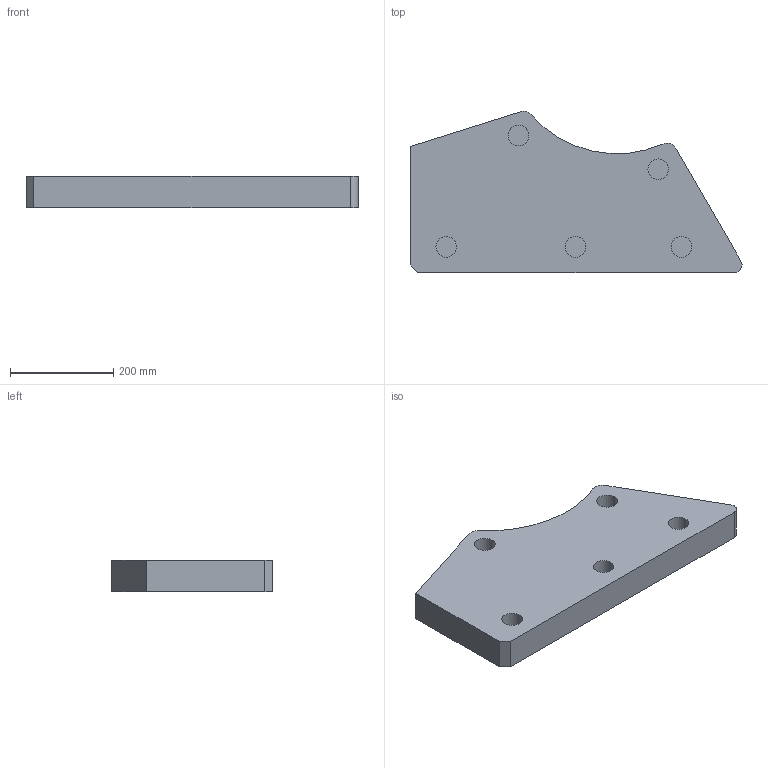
import cadquery as cq
import math

thickness = 60.0
left_height = 244.0
corner_chamfer = 15.0
bottom_corner_x = 653.0
top_edge_angle = 17.5
right_edge_angle = 60.0
corner_fillet = 15.0
top_fillet = 20.0

arc_radius = 220.0
arc_center_x = 400.0
arc_center_y = 450.0

hole_diameter = 40.0
hole_depth = 40.0
hole_centers = [(70.0, 50.0), (320.0, 50.0), (525.0, 50.0), (210.0, 265.0), (480.0, 200.0)]


def make_blank():
    """Sharp-cornered plate, running above the concave arc before it is cut."""
    top_slope = math.tan(math.radians(top_edge_angle))
    right_slope = math.tan(math.radians(right_edge_angle))
    peak_x = (bottom_corner_x * right_slope - left_height) / (top_slope + right_slope)
    peak_y = left_height + top_slope * peak_x
    outline = [
        (corner_chamfer, 0),
        (bottom_corner_x, 0),
        (peak_x, peak_y),
        (0, left_height),
        (0, corner_chamfer),
    ]
    return cq.Workplane("XY").polyline(outline).close().extrude(thickness)


def cut_concave_arc(plate):
    """Scoop the peak away with a vertical cylinder."""
    cutter = cq.Workplane("XY").center(arc_center_x, arc_center_y).circle(arc_radius).extrude(thickness)
    return plate.cut(cutter)


def round_corners(plate):
    """Round the +X corner and both ends of the concave arc."""
    rounded = plate.edges("|Z").edges(">X").fillet(corner_fillet)
    arc_ends = cq.selectors.BoxSelector(
        (arc_center_x - arc_radius, left_height, 0),
        (arc_center_x + arc_radius, arc_center_y, thickness),
    )
    return rounded.edges("|Z").edges(arc_ends).fillet(top_fillet)


def drill_holes(plate):
    """Sink the blind holes from the top face."""
    top_face = plate.faces(">Z").workplane(origin=(0, 0, 0))
    return top_face.pushPoints(hole_centers).hole(hole_diameter, hole_depth)


plate = make_blank()
plate = cut_concave_arc(plate)
plate = round_corners(plate)
result = drill_holes(plate)